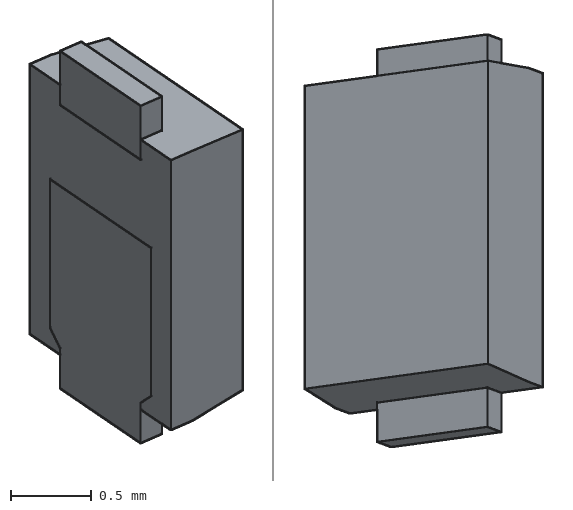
import cadquery as cq

length = 2.5
body_width = 1.4
body_length = 2.0
total_depth = 0.6

lead_thickness = 0.17
taper_inset = 0.035

lead_width = 0.8
short_lead_length = 0.4
pad_width = 1.0
long_lead_length = 1.5
neck_length = 0.3
shoulder = (pad_width - lead_width) / 2

front_y = -total_depth / 2
band_back_y = front_y + lead_thickness
back_y = total_depth / 2


def front_plane(y):
    """Plane facing -Y at the given depth: local x is X, local y is Z."""
    return cq.Workplane("XZ", origin=(0, y, 0))


def make_short_lead():
    center_z = (length - short_lead_length) / 2
    return (
        front_plane(front_y)
        .center(0, center_z)
        .rect(lead_width, short_lead_length)
        .extrude(-lead_thickness)
    )


def make_long_lead():
    bottom_z = -length / 2
    neck_z = bottom_z + neck_length
    outline = [
        (-lead_width / 2, bottom_z),
        (lead_width / 2, bottom_z),
        (lead_width / 2, neck_z),
        (pad_width / 2, neck_z + shoulder),
        (pad_width / 2, bottom_z + long_lead_length),
        (-pad_width / 2, bottom_z + long_lead_length),
        (-pad_width / 2, neck_z + shoulder),
        (-lead_width / 2, neck_z),
    ]
    return front_plane(front_y).polyline(outline).close().extrude(-lead_thickness)


def make_housing(leads):
    """Band plus tapered back, with a matching recess for each lead."""
    band = (
        front_plane(front_y)
        .rect(body_width, body_length)
        .extrude(-lead_thickness)
    )
    tapered_back = (
        front_plane(band_back_y)
        .rect(body_width, body_length)
        .workplane(offset=band_back_y - back_y)
        .rect(body_width - 2 * taper_inset, body_length - 2 * taper_inset)
        .loft(ruled=True)
    )
    housing = band.union(tapered_back)
    for lead in leads:
        housing = housing.cut(lead)
    return housing


short_lead = make_short_lead()
long_lead = make_long_lead()
housing = make_housing([short_lead, long_lead])

result = cq.Compound.makeCompound([housing.val(), short_lead.val(), long_lead.val()])